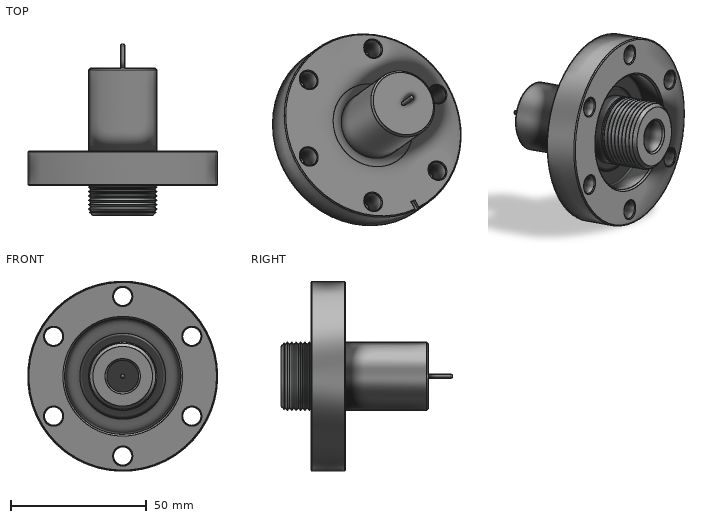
import cadquery as cq
import math


FLANGE_RADIUS = 35.0
FLANGE_THICKNESS = 12.75
FLANGE_CHAMFER = 0.4

RECESS_RADIUS = 21.4
RECESS_DEPTH = 8.4
RECESS_CHAMFER = 0.6
RECESS_FILLET = 0.7

BOLT_COUNT = 6
FIRST_BOLT_ANGLE = 90.0
BOLT_CIRCLE_RADIUS = 29.4
BOLT_HOLE_RADIUS = 3.35
BOLT_HOLE_CHAMFER = 0.35

SLOT_WIDTH = 1.75
SLOT_DEPTH = 1.4
SLOT_LENGTH = 3.5
SLOT_ANGLE = 240.0

HUB_RADIUS = 15.8
HUB_FILLET = 1.05

BARREL_RADIUS = 12.6
BARREL_BACK = 43.25
BARREL_CHAMFER = 0.7

NOSE_RADIUS = BARREL_RADIUS
NOSE_LENGTH = 11.05
NOSE_CHAMFER = 1.6

THREAD_PITCH = 1.6
THREAD_DEPTH = 0.9
THREAD_COUNT = 8
FIRST_GROOVE_OFFSET = 1.6

RUNOUT_PITCH = 0.7
RUNOUT_DEPTH = 0.4
RUNOUT_COUNT = 2

BORE_RADIUS = 5.9
BORE_CHAMFER = 0.6
BORE_DEPTH = 28.0

PIN_RADIUS = 0.8
PIN_BACK = 52.2
PIN_FRONT_REACH = 7.0

nose_front = -NOSE_LENGTH
bore_floor = nose_front + BORE_DEPTH
first_groove = nose_front + FIRST_GROOVE_OFFSET
last_crest = first_groove + (THREAD_COUNT - 0.5) * THREAD_PITCH


def revolve_about_y(profile):
    """Turn an open (radius, Y) outline, closed by its end points, about the Y axis."""
    return profile.close().revolve(360, (0, 0, 0), (0, 1, 0))


def cylinder_along_y(radius, start, end):
    """Solid cylinder on the Y axis between two Y positions."""
    return cq.Workplane("XZ", origin=(0, start, 0)).circle(radius).extrude(start - end)


def make_flange_disc():
    """Chamfered disc with the front recess and the centre hole for the hub."""
    disc = cylinder_along_y(FLANGE_RADIUS, 0, FLANGE_THICKNESS).edges().chamfer(FLANGE_CHAMFER)
    recess = cylinder_along_y(RECESS_RADIUS, 0, RECESS_DEPTH).faces(">Y").edges().fillet(RECESS_FILLET)
    mouth = revolve_about_y(
        cq.Workplane("XY")
        .lineTo(RECESS_RADIUS + RECESS_CHAMFER, 0)
        .lineTo(RECESS_RADIUS, RECESS_CHAMFER)
        .lineTo(0, RECESS_CHAMFER)
    )
    hub_hole = cylinder_along_y(HUB_RADIUS, 0, FLANGE_THICKNESS)
    return disc.cut(recess).cut(mouth).cut(hub_hole)


def make_hub():
    """Disc in the centre hole of the flange, flush with the recess floor and the back face."""
    hub = cylinder_along_y(HUB_RADIUS, RECESS_DEPTH, FLANGE_THICKNESS)
    return hub.faces("<Y").edges().fillet(HUB_FILLET)


def make_barrel():
    """Plain round barrel with a chamfered back end."""
    return cylinder_along_y(BARREL_RADIUS, RECESS_DEPTH, BARREL_BACK).faces(">Y").chamfer(BARREL_CHAMFER)


def make_nose():
    """Round nose with a chamfered front end."""
    return cylinder_along_y(NOSE_RADIUS, nose_front, RECESS_DEPTH).faces("<Y").chamfer(NOSE_CHAMFER)


def make_ring_groove(root_y, width, depth):
    """V-shaped ring around the nose with its root at the given Y."""
    return revolve_about_y(
        cq.Workplane("XY")
        .moveTo(NOSE_RADIUS - depth, root_y)
        .lineTo(NOSE_RADIUS, root_y - width / 2)
        .lineTo(NOSE_RADIUS, root_y + width / 2)
    )


def make_bore():
    """Blind bore with a chamfered mouth."""
    return revolve_about_y(
        cq.Workplane("XY")
        .moveTo(0, nose_front)
        .lineTo(BORE_RADIUS + BORE_CHAMFER, nose_front)
        .lineTo(BORE_RADIUS, nose_front + BORE_CHAMFER)
        .lineTo(BORE_RADIUS, bore_floor)
        .lineTo(0, bore_floor)
    )


def make_bolt_hole(angle):
    """Through hole on the bolt circle, chamfered at both faces."""
    outer = BOLT_HOLE_RADIUS + BOLT_HOLE_CHAMFER
    hole = revolve_about_y(
        cq.Workplane("XY")
        .lineTo(outer, 0)
        .lineTo(BOLT_HOLE_RADIUS, BOLT_HOLE_CHAMFER)
        .lineTo(BOLT_HOLE_RADIUS, FLANGE_THICKNESS - BOLT_HOLE_CHAMFER)
        .lineTo(outer, FLANGE_THICKNESS)
        .lineTo(0, FLANGE_THICKNESS)
    )
    turn = math.radians(angle)
    return hole.translate((BOLT_CIRCLE_RADIUS * math.cos(turn), 0, BOLT_CIRCLE_RADIUS * math.sin(turn)))


def make_slot():
    """Radial slot open to the rim and to the back face of the flange."""
    slot = cq.Workplane("XY").box(SLOT_LENGTH, SLOT_DEPTH, SLOT_WIDTH)
    slot = slot.translate((FLANGE_RADIUS - SLOT_LENGTH / 2, FLANGE_THICKNESS - SLOT_DEPTH / 2, 0))
    return slot.rotate((0, 0, 0), (0, 1, 0), -SLOT_ANGLE)


def make_pin():
    """Slim pin with a domed tip at each end."""
    front_tip = bore_floor - PIN_FRONT_REACH
    return revolve_about_y(
        cq.Workplane("XY")
        .moveTo(0, front_tip)
        .radiusArc((PIN_RADIUS, front_tip + PIN_RADIUS), -PIN_RADIUS)
        .lineTo(PIN_RADIUS, PIN_BACK - PIN_RADIUS)
        .radiusArc((0, PIN_BACK), -PIN_RADIUS)
    )


def make_flange():
    """Flange body: disc with its bolt holes and leak-check slot."""
    body = make_flange_disc().cut(make_slot())
    for index in range(BOLT_COUNT):
        body = body.cut(make_bolt_hole(FIRST_BOLT_ANGLE + index * 360 / BOLT_COUNT))
    return body


def make_feedthrough():
    """Feedthrough body: hub, barrel, threaded nose and centre pin in one piece."""
    body = make_hub().union(make_barrel()).union(make_nose())
    for index in range(THREAD_COUNT):
        root_y = first_groove + index * THREAD_PITCH
        body = body.cut(make_ring_groove(root_y, THREAD_PITCH, THREAD_DEPTH))
    for index in range(RUNOUT_COUNT):
        root_y = last_crest + (index + 0.5) * RUNOUT_PITCH
        body = body.cut(make_ring_groove(root_y, RUNOUT_PITCH, RUNOUT_DEPTH))
    return body.cut(make_bore()).union(make_pin())


flange = make_flange().solids()
feedthrough = make_feedthrough().solids()

result = cq.Compound.makeCompound([flange.val(), feedthrough.val()])